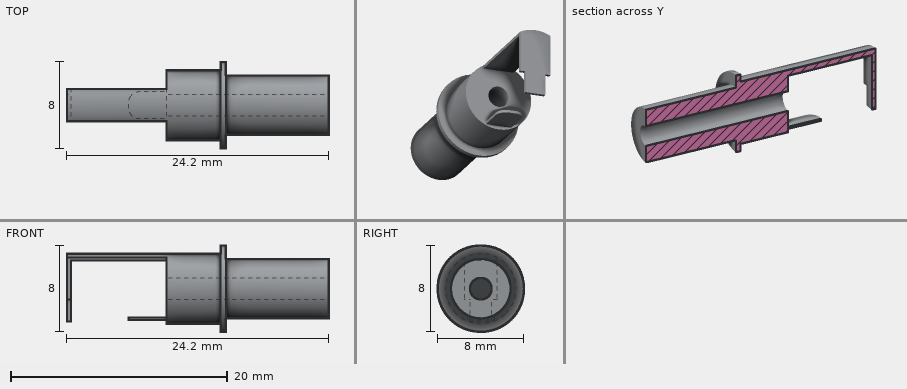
import cadquery as cq

total_length = 24.2
body_start = 9.2
body_length = 5.0
body_diameter = 6.5
flange_thickness = 0.5
flange_diameter = 8.0
barrel_diameter = 5.5
bore_diameter = 2.0

flange_start = body_start + body_length
barrel_start = flange_start + flange_thickness

strip_width = 3.0
strip_underside = 2.6
pin_thickness = 0.4
pin_shoulder_height = -1.0
pin_tip_height = -3.05
pin_tip_width = 2.0

tab_length = 3.5
tab_width = 2.5
tab_thickness = 0.25
tab_underside = -2.9
tab_corner_radius = 1.0


def cylinder_along_x(start, end, diameter):
    """Solid cylinder on the X axis between two X positions."""
    return cq.Workplane("YZ", origin=(start, 0, 0)).circle(diameter / 2).extrude(end - start)


def plate(start, end, width, bottom, top):
    """Box from start to end in X and bottom to top in Z, centred on Y = 0."""
    base = cq.Workplane("XY", origin=(start, 0, bottom))
    return base.box(end - start, width, top - bottom, centered=(False, True, False))


def turned_body():
    """Rear body, flange and front barrel."""
    body = cylinder_along_x(body_start, flange_start, body_diameter)
    flange = cylinder_along_x(flange_start, barrel_start, flange_diameter)
    barrel = cylinder_along_x(barrel_start, total_length, barrel_diameter)
    return body.union(flange).union(barrel)


def bent_strip():
    """Contact strip and wide pin under the body's round outline, plus the narrow pin tip."""
    body_radius = body_diameter / 2
    strip = plate(0, flange_start, strip_width, strip_underside, body_radius)
    pin = plate(0, pin_thickness, strip_width, pin_shoulder_height, body_radius)
    envelope = cylinder_along_x(0, flange_start, body_diameter)
    tip = plate(0, pin_thickness, pin_tip_width, pin_tip_height, pin_shoulder_height)
    return strip.union(pin).intersect(envelope).union(tip)


def solder_tab():
    """Flat tab with two rounded corners at its free end."""
    tab_top = tab_underside + tab_thickness
    tab = plate(body_start - tab_length, body_start, tab_width, tab_underside, tab_top)
    return tab.edges("|Z and <X").fillet(tab_corner_radius)


bore = cylinder_along_x(body_start, total_length, bore_diameter)
result = turned_body().union(bent_strip()).union(solder_tab()).cut(bore)